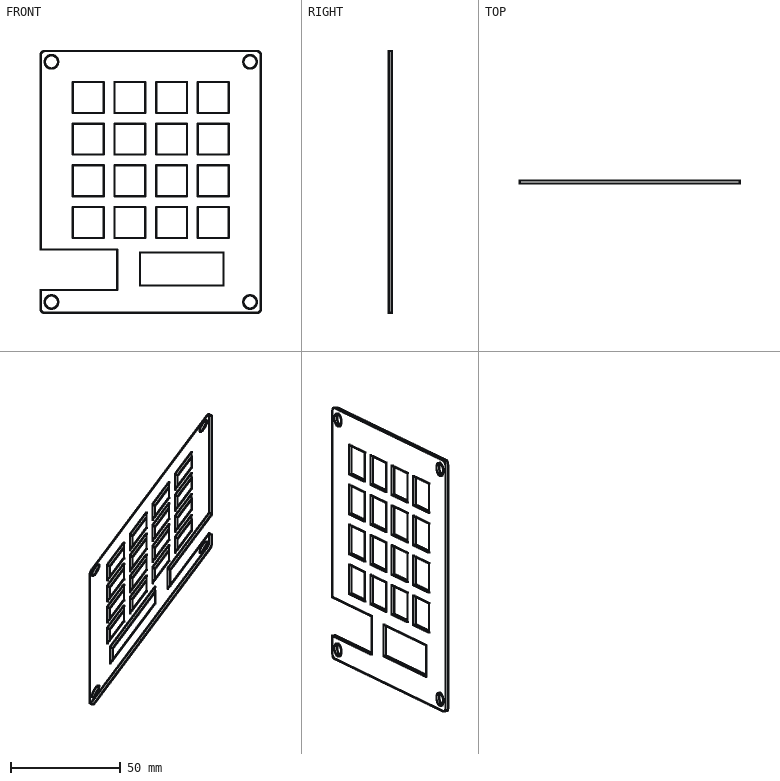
import cadquery as cq

PLATE_WIDTH = 100.77
PLATE_HEIGHT = 119.82
PLATE_THICKNESS = 1.5
CORNER_RADIUS = 2.0

MOUNT_HOLE_DIAMETER = 6.0
MOUNT_HOLE_INSET = 5.0

KEY_COLUMNS = 4
KEY_ROWS = 4
KEY_PITCH = 19.05
KEY_SIZE = 14.0
KEYS_TOP_MARGIN = 14.3

WINDOW_WIDTH = 38.0
WINDOW_HEIGHT = 15.0
WINDOW_RIGHT_MARGIN = 17.2
WINDOW_BOTTOM_MARGIN = 12.6

NOTCH_DEPTH = 35.0
NOTCH_HEIGHT = 18.4
NOTCH_BOTTOM_MARGIN = 10.5

LEFT = -PLATE_WIDTH / 2
RIGHT = PLATE_WIDTH / 2
BOTTOM = -PLATE_HEIGHT / 2
TOP = PLATE_HEIGHT / 2


def make_block(width, height, center_x=0, center_z=0):
    """Rectangular block as thick as the plate."""
    return cq.Workplane("XY").box(width, PLATE_THICKNESS, height).translate((center_x, 0, center_z))


def make_plate():
    return make_block(PLATE_WIDTH, PLATE_HEIGHT).edges("|Y").fillet(CORNER_RADIUS)


def cut_mounting_holes(plate):
    spacing_x = PLATE_WIDTH - 2 * MOUNT_HOLE_INSET
    spacing_z = PLATE_HEIGHT - 2 * MOUNT_HOLE_INSET
    holes = (
        cq.Workplane("XZ")
        .rect(spacing_x, spacing_z, forConstruction=True)
        .vertices()
        .circle(MOUNT_HOLE_DIAMETER / 2)
        .extrude(PLATE_THICKNESS, both=True)
    )
    return plate.cut(holes)


def cut_key_openings(plate):
    first_x = -KEY_PITCH * (KEY_COLUMNS - 1) / 2
    first_z = TOP - KEYS_TOP_MARGIN - KEY_SIZE / 2
    for column in range(KEY_COLUMNS):
        for row in range(KEY_ROWS):
            center_x = first_x + column * KEY_PITCH
            center_z = first_z - row * KEY_PITCH
            plate = plate.cut(make_block(KEY_SIZE, KEY_SIZE, center_x, center_z))
    return plate


def cut_display_window(plate):
    center_x = RIGHT - WINDOW_RIGHT_MARGIN - WINDOW_WIDTH / 2
    center_z = BOTTOM + WINDOW_BOTTOM_MARGIN + WINDOW_HEIGHT / 2
    return plate.cut(make_block(WINDOW_WIDTH, WINDOW_HEIGHT, center_x, center_z))


def cut_side_notch(plate):
    center_x = LEFT + NOTCH_DEPTH / 2
    center_z = BOTTOM + NOTCH_BOTTOM_MARGIN + NOTCH_HEIGHT / 2
    return plate.cut(make_block(NOTCH_DEPTH, NOTCH_HEIGHT, center_x, center_z))


plate = make_plate()
plate = cut_mounting_holes(plate)
plate = cut_key_openings(plate)
plate = cut_display_window(plate)
result = cut_side_notch(plate)